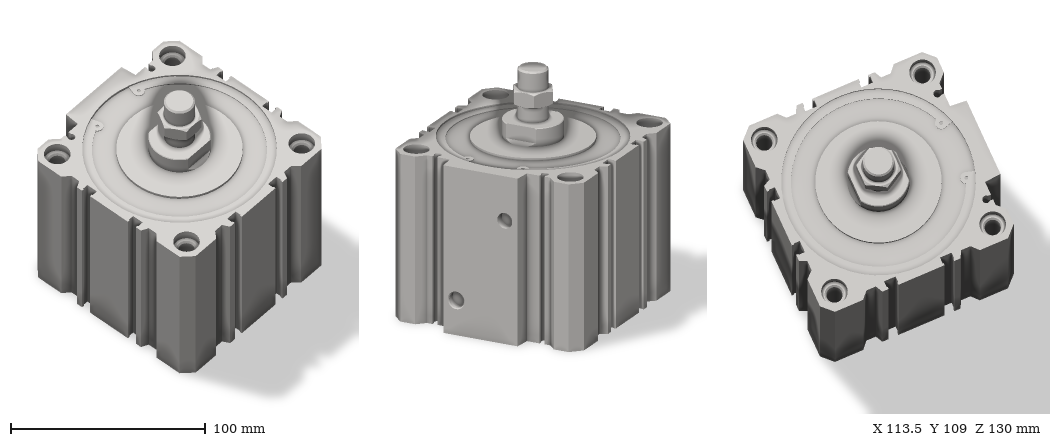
import cadquery as cq
import math

HEIGHT = 130.0
BODY_HEIGHT = 92.0
BODY_SIDE = 109.0
HALF_SIDE = BODY_SIDE / 2
CORNER_CHAMFER = 5.8

SLOT_CENTRE = 15.7
SLOT_MOUTH = 5.5
SLOT_WIDTH = 6.5
SLOT_LIP = 1.3
SLOT_DEPTH = 4.7
GROOVE_INNER = 22.0
GROOVE_OUTER = 32.8
GROOVE_FLOOR_INNER = 23.9
GROOVE_FLOOR_OUTER = 29.2
GROOVE_DEPTH = 3.9

PORT_FACE_X = -59.0
PORT_PAD_HALF_WIDTH = 21.5
PORT_PAD_ROOT_HALF_WIDTH = 22.2
PORT_SIDE_DEPTH = 4.4
PORT_SIDE_OUTER = 40.0
ROUND_SLOT_Y = 31.0
ROUND_SLOT_MOUTH = 2.7
ROUND_SLOT_DIAMETER = 4.0
ROUND_SLOT_CENTRE_DEPTH = 3.2

PORT_DIAMETER = 8.6
UPPER_PORT_DEPTH = 5.0
LOWER_PORT_DEPTH = 4.4
PORT_Y = 14.0
UPPER_PORT_Z = 67.6
LOWER_PORT_Z = 19.1
LOWER_PORT_CHAMFER = 0.5

BOLT_OFFSET = 44.5
BOLT_DIAMETER = 8.3
BOLT_CHAMFER = 0.9
COUNTERBORE_DIAMETER = 13.6
COUNTERBORE_DEPTH = 5.2

RECESS_DIAMETER = 100.0
RECESS_DEPTH = 1.5
DISC_DIAMETER = 65.0
RING_DROP = 1.0
RING_INNER_RADIUS = 45.0
LUG_CENTRE_X = -42.2
LUG_CENTRE_Y = 16.0
LUG_RADIUS = 3.1
LUG_HOLE_DIAMETER = 2.0

ROD_DIAMETER = 32.0
ROD_TOP = 102.0
ROD_CHAMFER = 0.4
FLAT_WIDTH = 27.0
FLAT_BOTTOM = 93.9
CUT_CLEARANCE = 1.3
STUD_DIAMETER = 16.0
STUD_CHAMFER = 0.9
NUT_WIDTH = 20.0
NUT_BOTTOM = 110.9
NUT_HEIGHT = 8.0
NUT_CHAMFER_ANGLE = 30.0

RECESS_FLOOR = BODY_HEIGHT - RECESS_DEPTH


def prism(points, height):
    return cq.Workplane("XY").polyline(points).close().extrude(height)


def cylinder(diameter, bottom, top):
    return cq.Workplane("XY").workplane(offset=bottom).circle(diameter / 2).extrude(top - bottom)


def face_cut(side):
    """Slot and groove on one half (side = +1 or -1) of the +X face."""
    half_mouth = SLOT_MOUTH / 2
    half_slot = SLOT_WIDTH / 2
    lip = HALF_SIDE - SLOT_LIP
    slot_floor = HALF_SIDE - SLOT_DEPTH
    slot = [
        (HALF_SIDE, SLOT_CENTRE - half_mouth),
        (lip, SLOT_CENTRE - half_mouth),
        (lip, SLOT_CENTRE - half_slot),
        (slot_floor, SLOT_CENTRE - half_slot),
        (slot_floor, SLOT_CENTRE + half_slot),
        (lip, SLOT_CENTRE + half_slot),
        (lip, SLOT_CENTRE + half_mouth),
        (HALF_SIDE, SLOT_CENTRE + half_mouth),
    ]
    groove_floor = HALF_SIDE - GROOVE_DEPTH
    groove = [
        (HALF_SIDE, GROOVE_INNER),
        (groove_floor, GROOVE_FLOOR_INNER),
        (groove_floor, GROOVE_FLOOR_OUTER),
        (HALF_SIDE, GROOVE_OUTER),
    ]
    cut = prism([(x, side * y) for x, y in slot], BODY_HEIGHT)
    return cut.union(prism([(x, side * y) for x, y in groove], BODY_HEIGHT))


def port_side():
    """Lowered face with the port pad standing out of its middle, as material to remove and to add."""
    outer_x = -HALF_SIDE
    root_x = outer_x + PORT_SIDE_DEPTH
    inner_y = PORT_SIDE_OUTER - PORT_SIDE_DEPTH
    lowered = prism(
        [(outer_x, -PORT_SIDE_OUTER), (root_x, -inner_y), (root_x, inner_y), (outer_x, PORT_SIDE_OUTER)],
        BODY_HEIGHT,
    )
    pad = prism(
        [
            (root_x, -PORT_PAD_ROOT_HALF_WIDTH),
            (PORT_FACE_X, -PORT_PAD_HALF_WIDTH),
            (PORT_FACE_X, PORT_PAD_HALF_WIDTH),
            (root_x, PORT_PAD_ROOT_HALF_WIDTH),
        ],
        BODY_HEIGHT,
    )
    return lowered, pad


def round_slot(side):
    """Keyhole-shaped slot in the lowered port face."""
    root_x = -HALF_SIDE + PORT_SIDE_DEPTH
    y = side * ROUND_SLOT_Y
    head_x = root_x + ROUND_SLOT_CENTRE_DEPTH
    head = cylinder(ROUND_SLOT_DIAMETER, 0, BODY_HEIGHT).translate((head_x, y, 0))
    neck = cq.Workplane("XY").box(
        ROUND_SLOT_CENTRE_DEPTH, ROUND_SLOT_MOUTH, BODY_HEIGHT, centered=(False, True, False)
    )
    return head.union(neck.translate((root_x, y, 0)))


def port(y, z, depth, chamfer):
    """Blind port drilled from the port face, with an optional countersunk mouth."""
    radius = PORT_DIAMETER / 2
    profile = [(0, 0), (radius + chamfer, 0)]
    if chamfer:
        profile.append((radius, chamfer))
    profile += [(radius, depth), (0, depth)]
    drill = cq.Workplane("XY").polyline(profile).close().revolve(360, (0, 0), (0, 1))
    return drill.rotate((0, 0, 0), (0, 0, 1), -90).translate((PORT_FACE_X, y, z))


def bolt_hole():
    """Through hole with a chamfered step below its counterbore."""
    radius = BOLT_DIAMETER / 2
    bore_radius = COUNTERBORE_DIAMETER / 2
    step = BODY_HEIGHT - COUNTERBORE_DEPTH
    profile = [
        (0, 0),
        (radius, 0),
        (radius, step - BOLT_CHAMFER),
        (radius + BOLT_CHAMFER, step),
        (bore_radius, step),
        (bore_radius, BODY_HEIGHT),
        (0, BODY_HEIGHT),
    ]
    return cq.Workplane("XZ").polyline(profile).close().revolve(360, (0, 0), (0, 1))


def retaining_ring():
    """Open ring whose ends carry round lugs; each end face is radial and tangent to its lug."""
    height = RECESS_DEPTH - RING_DROP
    lug_distance = math.hypot(LUG_CENTRE_X, LUG_CENTRE_Y)
    end_angle = math.atan2(LUG_CENTRE_Y, LUG_CENTRE_X) + math.asin(LUG_RADIUS / lug_distance)
    outer_radius = RECESS_DIAMETER / 2

    def at(radius, angle):
        return radius * math.cos(angle), radius * math.sin(angle)

    ring = (
        cq.Workplane("XY")
        .moveTo(*at(RING_INNER_RADIUS, end_angle))
        .threePointArc((RING_INNER_RADIUS, 0), at(RING_INNER_RADIUS, -end_angle))
        .lineTo(*at(outer_radius, -end_angle))
        .threePointArc((outer_radius, 0), at(outer_radius, end_angle))
        .close()
        .extrude(height)
    )
    lugs = [(LUG_CENTRE_X, LUG_CENTRE_Y), (LUG_CENTRE_X, -LUG_CENTRE_Y)]
    ring = ring.union(cq.Workplane("XY").pushPoints(lugs).circle(LUG_RADIUS).extrude(height))
    ring = ring.cut(cq.Workplane("XY").pushPoints(lugs).circle(LUG_HOLE_DIAMETER / 2).extrude(height))
    return ring.translate((0, 0, RECESS_FLOOR))


def make_housing():
    body = cq.Workplane("XY").rect(BODY_SIDE, BODY_SIDE).extrude(BODY_HEIGHT)
    body = body.edges("|Z").chamfer(CORNER_CHAMFER)

    for angle in (0, 90, -90):
        for side in (1, -1):
            body = body.cut(face_cut(side).rotate((0, 0, 0), (0, 0, 1), angle))

    lowered, pad = port_side()
    body = body.cut(lowered).union(pad)
    for side in (1, -1):
        body = body.cut(round_slot(side))
    body = body.cut(port(-PORT_Y, UPPER_PORT_Z, UPPER_PORT_DEPTH, 0))
    body = body.cut(port(PORT_Y, LOWER_PORT_Z, LOWER_PORT_DEPTH, LOWER_PORT_CHAMFER))

    for x in (-BOLT_OFFSET, BOLT_OFFSET):
        for y in (-BOLT_OFFSET, BOLT_OFFSET):
            body = body.cut(bolt_hole().translate((x, y, 0)))

    body = body.cut(cylinder(RECESS_DIAMETER, RECESS_FLOOR, BODY_HEIGHT))
    body = body.union(cylinder(DISC_DIAMETER, RECESS_FLOOR, BODY_HEIGHT))
    body = body.union(retaining_ring())

    return body.cut(cylinder(ROD_DIAMETER, RECESS_FLOOR, BODY_HEIGHT))


def wrench_flat(side):
    """Wedge that leaves a flat on one side of the rod, running out at 45 degrees below."""
    flat = FLAT_WIDTH / 2
    reach = ROD_DIAMETER / 2 - flat + CUT_CLEARANCE
    profile = [
        (side * flat, ROD_TOP),
        (side * flat, FLAT_BOTTOM),
        (side * (flat + reach), FLAT_BOTTOM - reach),
        (side * (flat + reach), ROD_TOP),
    ]
    return cq.Workplane("XZ").polyline(profile).close().extrude(ROD_DIAMETER / 2, both=True)


def nut():
    """Hexagon with two faces square to X, its corners bevelled by cones at both ends."""
    corner_radius = NUT_WIDTH / 2 / math.cos(math.radians(30))
    hexagon = cq.Workplane("XY").polygon(6, 2 * corner_radius).extrude(NUT_HEIGHT)
    hexagon = hexagon.rotate((0, 0, 0), (0, 0, 1), 90)
    inner = NUT_WIDTH / 2
    bevel = (corner_radius - inner) * math.tan(math.radians(NUT_CHAMFER_ANGLE))
    envelope = [
        (0, 0),
        (inner, 0),
        (corner_radius, bevel),
        (corner_radius, NUT_HEIGHT - bevel),
        (inner, NUT_HEIGHT),
        (0, NUT_HEIGHT),
    ]
    cone = cq.Workplane("XZ").polyline(envelope).close().revolve(360, (0, 0), (0, 1))
    return hexagon.intersect(cone).translate((0, 0, NUT_BOTTOM))


def make_rod():
    """Piston rod seated in the centre disc, with wrench flats, stud and nut in one piece."""
    rod = cylinder(ROD_DIAMETER, RECESS_FLOOR, ROD_TOP).faces(">Z").chamfer(ROD_CHAMFER)
    for side in (1, -1):
        rod = rod.cut(wrench_flat(side))
    stud = cylinder(STUD_DIAMETER, ROD_TOP, HEIGHT).faces(">Z").chamfer(STUD_CHAMFER)
    return rod.union(stud).union(nut())


housing = make_housing()
rod = make_rod()

result = cq.Compound.makeCompound([housing.val(), rod.val()])